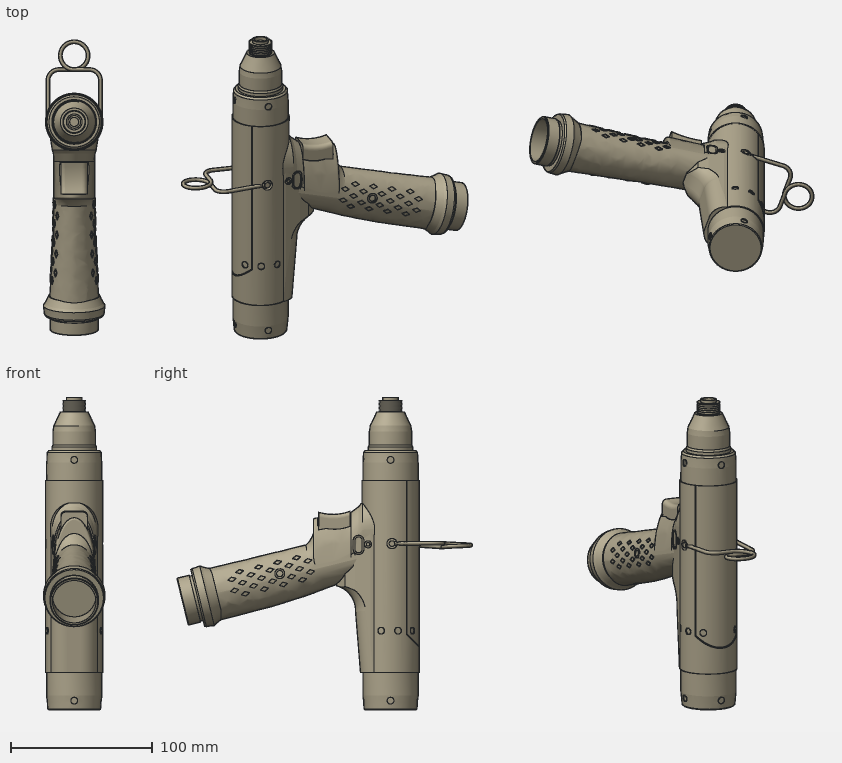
import cadquery as cq
import math


BARREL_R = 20.3
COLLAR_R = 19.6
BARREL_BASE_Z = 26.3
BARREL_TOP_Z = 162.2
FOOT_R = 18.7
FOOT_CHAMFER = 0.7
FOOT_TOP_Z = 10.0
COLLAR_TAPER_Z = 174.6
COLLAR_SHOULDER_R = 19.1
COLLAR_SHOULDER_Z = 182.0
COLLAR_TOP_R = 17.8
COLLAR_TOP_Z = 183.4

NOSE_FLANGE_R = 15.8
NOSE_FLANGE_TOP_Z = 185.6
NOSE_R = 15.1
NOSE_COLLAR_Z = 187.2
NOSE_SHOULDER_Z = 196.5
NOSE_CONE_R = 14.5
NOSE_CONE_Z = 200.6
NOSE_CONE_TOP_R = 9.8
THREAD_BASE_Z = 210.6
THREAD_R = 8.1
THREAD_PITCH = 2.7
THREAD_DEPTH = 0.5
THREAD_COUNT = 3
THREAD_TOP_Z = 218.7
TIP_R = 5.6
TIP_BORE_R = 4.5
TIP_BORE_DEPTH = 7.0
SPINDLE_R = 3.2
SPINDLE_RECESS = 2.0
TOTAL_HEIGHT = 220.71

SCREW_R = 2.4
SCREW_DEPTH = 1.0
FOOT_SCREW_Z = 6.6
COLLAR_SCREW_Z = 176.6
SIDE_SCREW_Z = 56.0
SIDE_SCREW_ANGLES = (-19.5, 15.5, 50.5)
SEAM_Y = 11.1
SEAM_WIDTH = 0.4
SEAM_DEPTH = 0.4
SEAM_BEND_Z = 53.5
SEAM_END_Z = 44.5

HANDLE_TILT = math.radians(13.7)
HANDLE_END_Y = -146.9
HANDLE_END_Z = 76.46

FLANGE_R = 43.61 / 2
FLANGE_BACK = 19.0
FLANGE_FRONT = 11.0
FLANGE_CHAMFER = 1.2
FLANGE_CONE_BACK = 25.0
CONE_R = 18.0
NECK_R = 16.4
PLUG_START = 9.0
PLUG_R = 17.1
PLUG_CHAMFER = 0.5
SOCKET_R = 15.4
SOCKET_DEPTH = 18.0

GRIP_SECTIONS = (
    (23.0, 17.3, 18.4, 18.9),
    (50.0, 16.0, 18.4, 18.6),
    (77.0, 14.9, 18.4, 17.4),
    (104.0, 14.5, 18.4, 14.6),
    (131.0, 14.5, 18.4, 11.5),
)

HOUSING_BELOW = 13.0
REAR_NECK_BELOW = 11.0
HOUSING_BACK_Y = -28.0
HOUSING_FRONT_Y = -54.5
HOUSING_HALF_WIDTH = 14.4
HOUSING_RIM_R = 1.5
SADDLE_SECTIONS = (
    (-8.0, 17.4, 128.0, 152.5),
    (-19.8, 15.6, 127.0, 146.8),
    (-22.6, 14.7, 123.0, 143.6),
    (HOUSING_BACK_Y, HOUSING_HALF_WIDTH, 114.0, 139.5),
)
HOUSING_SECTIONS = (
    (HOUSING_BACK_Y, HOUSING_HALF_WIDTH, 106.0, 139.5),
    (HOUSING_FRONT_Y, HOUSING_HALF_WIDTH, 99.0, 135.3),
)
REAR_NECK_SECTIONS = (
    (-52.5, 14.1, 99.5, 131.0),
    (-56.2, 14.2, 98.6, 121.0),
    (-59.0, 14.4, 97.9, 117.2),
    (-64.0, 14.6, 96.7, 115.4),
)

WEB_FOOT = (-21.3, BARREL_BASE_Z)
WEB_KNEE = (-24.8, 69.5)
WEB_BEND = (-28.7, 81.5)
WEB_TOE = (-38.0, 87.6)
WEB_TOP_Z = 127.0
WEB_SHOULDER_Y = -20.0
WEB_TOE_TOP_Z = 98.0
WEB_EDGE_R = 12.0
WEB_INNER_Y = -5.0
WEB_PLAN = ((WEB_INNER_Y, 16.8), (-14.0, 16.4), (-25.0, 14.3), (-32.0, 11.5), (-38.0, 4.0))

TRIGGER_BACK_Y = -28.6
TRIGGER_FRONT_Y = -50.8
TRIGGER_HALF_WIDTH = 9.4
TRIGGER_EDGE_R = 3.2
TRIGGER_BASE_Z = 124.0
TRIGGER_BACK_Z = 140.4
TRIGGER_DIP_Z = 138.2
TRIGGER_FRONT_Z = 139.7
POCKET_GAP = 0.6
POCKET_FLOOR_BACK_Z = 130.0
POCKET_FLOOR_DIP_Z = 127.6

BUTTON_Y = -22.6
BUTTON_Z = 116.6
BUTTON_LENGTH = 13.6
BUTTON_WIDTH = 7.6
BUTTON_RIM = 1.2
BUTTON_FLOOR_X = 12.9
SMALL_SCREW_Y = -15.9
SMALL_SCREW_Z = 117.0
SMALL_SCREW_R = 2.5
SMALL_SCREW_FLOOR_X = 15.0
GRIP_SCREW_BACK = 71.4
GRIP_SCREW_RISE = 3.0
GRIP_SCREW_R = 3.5
GRIP_SCREW_HEAD_R = 2.2
DIAMOND_LENGTH = 5.8
DIAMOND_WIDTH = 3.4
DIAMOND_RAISE = 0.45
DIAMOND_ROOT = 1.0
GRIP_HALF_HEIGHT = 18.4
DIAMOND_PITCH = 13.8
DIAMOND_ROW_STEP = 4.0
DIAMOND_ROWS = ((44.2, 4), (37.6, 5), (44.4, 4), (37.6, 5), (44.5, 4))
DIAMOND_TOP_RISE = 11.0

WIRE_R = 1.33
HANGER_HALF_WIDTH = 18.55
HANGER_PIVOT_Y = 1.0
HANGER_PIVOT_Z = 117.5
HANGER_BEND_R = 7.8
RING_R = 9.8
RING_OUTER_Y = 57.91
RING_PITCH = 2 * WIRE_R + 0.1
RING_Z = 116.4
PIVOT_PIN_R = 2.0
PIVOT_PIN_END = 14.0
PIVOT_PIN_HEAD = 20.1
PIVOT_RECESS_R = 3.6
PIVOT_RECESS_FLOOR = 16.8

SIDES = (-1, 1)


def axis_z(y):
    """Height of the handle axis at a given Y."""
    return HANDLE_END_Z + (y - HANDLE_END_Y) * math.tan(HANDLE_TILT)


def handle_plane(back):
    """Plane across the handle axis, facing outward, a distance back from the handle end."""
    along_y, along_z = math.cos(HANDLE_TILT), math.sin(HANDLE_TILT)
    origin = (0, HANDLE_END_Y + back * along_y, HANDLE_END_Z + back * along_z)
    return cq.Plane(origin=origin, xDir=(1, 0, 0), normal=(0, -along_y, -along_z))


def egg_wire(plane, half_width, above, below):
    """Closed outline of an upper and a lower half ellipse sharing one width."""
    halves = []
    for height, start in ((above, 0), (below, 180)):
        halves.append(cq.Edge.makeEllipse(
            half_width, height, plane.origin, plane.zDir, plane.xDir, start, start + 180))
    return cq.Wire.assembleEdges(halves)


def upright_loft(sections, reach_below, ruled):
    """Loft of egg outlines standing in XZ planes, reaching a fixed depth below the handle axis."""
    wires = []
    for y, half_width, widest_z, crown_z in sections:
        plane = cq.Plane(origin=(0, y, widest_z), xDir=(1, 0, 0), normal=(0, -1, 0))
        below = widest_z - axis_z(y) + reach_below
        wires.append(egg_wire(plane, half_width, crown_z - widest_z, below))
    return cq.Workplane(cq.Solid.makeLoft(wires, ruled))


def make_grip():
    wires = []
    for back, half_width, above, below in GRIP_SECTIONS:
        wires.append(egg_wire(handle_plane(back), half_width, above, below))
    return cq.Workplane(cq.Solid.makeLoft(wires))


def make_web():
    """Tapered web that runs down the barrel and sweeps out under the handle."""
    half_width = WEB_PLAN[0][1]
    side_shape = (
        cq.Workplane("YZ")
        .moveTo(WEB_INNER_Y, BARREL_BASE_Z)
        .lineTo(*WEB_FOOT)
        .lineTo(*WEB_KNEE)
        .threePointArc(WEB_BEND, WEB_TOE)
        .lineTo(WEB_TOE[0], WEB_TOE_TOP_Z)
        .lineTo(WEB_SHOULDER_Y, WEB_TOP_Z)
        .lineTo(WEB_INNER_Y, WEB_TOP_Z)
        .close()
        .extrude(half_width, both=True)
    )
    corner = cq.selectors.BoxSelector(
        (-2 * half_width, WEB_TOE[0] - 1, WEB_FOOT[1] + 1), (2 * half_width, WEB_FOOT[0], WEB_TOE[1] - 1))
    rounded = side_shape.edges(corner).edges("not |X").fillet(WEB_EDGE_R)
    left = [(-half_width, y) for y, half_width in WEB_PLAN]
    right = [(half_width, y) for y, half_width in reversed(WEB_PLAN)]
    plan = cq.Workplane("XY").polyline(left + right).close().extrude(BARREL_TOP_Z)
    return rounded.intersect(plan)


def make_barrel():
    outline = [
        (0, 0),
        (FOOT_R - FOOT_CHAMFER, 0),
        (FOOT_R, FOOT_CHAMFER),
        (COLLAR_R, FOOT_TOP_Z),
        (COLLAR_R, BARREL_BASE_Z),
        (BARREL_R, BARREL_BASE_Z),
        (BARREL_R, BARREL_TOP_Z),
        (COLLAR_R, BARREL_TOP_Z),
        (COLLAR_R, COLLAR_TAPER_Z),
        (COLLAR_SHOULDER_R, COLLAR_SHOULDER_Z),
        (COLLAR_TOP_R, COLLAR_TOP_Z),
        (NOSE_FLANGE_R, COLLAR_TOP_Z),
        (NOSE_FLANGE_R, NOSE_FLANGE_TOP_Z),
        (NOSE_R, NOSE_COLLAR_Z),
        (NOSE_R, NOSE_SHOULDER_Z),
        (NOSE_CONE_R, NOSE_CONE_Z),
        (NOSE_CONE_TOP_R, THREAD_BASE_Z),
        (THREAD_R, THREAD_BASE_Z),
    ]
    for turn in range(THREAD_COUNT):
        groove_z = THREAD_BASE_Z + (turn + 0.5) * THREAD_PITCH
        outline.append((THREAD_R, groove_z - THREAD_PITCH / 4))
        outline.append((THREAD_R - THREAD_DEPTH, groove_z - THREAD_PITCH / 4))
        outline.append((THREAD_R - THREAD_DEPTH, groove_z + THREAD_PITCH / 4))
        outline.append((THREAD_R, groove_z + THREAD_PITCH / 4))
    outline += [
        (THREAD_R, THREAD_TOP_Z),
        (TIP_R, THREAD_TOP_Z),
        (TIP_R, TOTAL_HEIGHT),
        (TIP_BORE_R, TOTAL_HEIGHT),
        (TIP_BORE_R, TOTAL_HEIGHT - TIP_BORE_DEPTH),
        (SPINDLE_R, TOTAL_HEIGHT - TIP_BORE_DEPTH),
        (SPINDLE_R, TOTAL_HEIGHT - SPINDLE_RECESS),
        (0, TOTAL_HEIGHT - SPINDLE_RECESS),
    ]
    return cq.Workplane("XZ").polyline(outline).close().revolve(360, (0, 0), (0, 1))


def make_connector():
    """Flange, neck and hollow plug turned about the handle axis."""
    outline = [
        (0, -FLANGE_CONE_BACK),
        (CONE_R, -FLANGE_CONE_BACK),
        (FLANGE_R - FLANGE_CHAMFER, -FLANGE_BACK - FLANGE_CHAMFER / 2),
        (FLANGE_R, -FLANGE_BACK + FLANGE_CHAMFER),
        (FLANGE_R - FLANGE_CHAMFER / 2, -FLANGE_FRONT - FLANGE_CHAMFER),
        (FLANGE_R - FLANGE_CHAMFER, -FLANGE_FRONT),
        (NECK_R, -FLANGE_FRONT),
        (NECK_R, -PLUG_START),
        (PLUG_R, -PLUG_START),
        (PLUG_R, -PLUG_CHAMFER),
        (PLUG_R - PLUG_CHAMFER, 0),
        (SOCKET_R, 0),
        (SOCKET_R, -SOCKET_DEPTH),
        (0, -SOCKET_DEPTH),
    ]
    end = handle_plane(0)
    half_plane = cq.Plane(origin=end.origin, xDir=end.xDir, normal=-end.yDir)
    return cq.Workplane(half_plane).polyline(outline).close().revolve(360, (0, 0), (0, 1))


def make_trigger():
    """Block whose crown dips as an arc from back to front and is rounded along both sides."""
    middle_y = (TRIGGER_BACK_Y + TRIGGER_FRONT_Y) / 2
    block = (
        cq.Workplane("YZ")
        .moveTo(TRIGGER_BACK_Y, TRIGGER_BASE_Z)
        .lineTo(TRIGGER_BACK_Y, TRIGGER_BACK_Z)
        .threePointArc((middle_y, TRIGGER_DIP_Z), (TRIGGER_FRONT_Y, TRIGGER_FRONT_Z))
        .lineTo(TRIGGER_FRONT_Y, TRIGGER_BASE_Z)
        .close()
        .extrude(TRIGGER_HALF_WIDTH, both=True)
    )
    return block.edges("%CIRCLE").fillet(TRIGGER_EDGE_R)


def make_trigger_pocket():
    """Opening above a dished floor, slightly larger than the trigger and open to the sides."""
    back_y = TRIGGER_BACK_Y + POCKET_GAP
    front_y = TRIGGER_FRONT_Y - POCKET_GAP
    return (
        cq.Workplane("YZ")
        .moveTo(back_y, POCKET_FLOOR_BACK_Z)
        .threePointArc(((back_y + front_y) / 2, POCKET_FLOOR_DIP_Z), (front_y, POCKET_FLOOR_BACK_Z))
        .lineTo(front_y, BARREL_TOP_Z)
        .lineTo(back_y, BARREL_TOP_Z)
        .close()
        .extrude(BARREL_R, both=True)
    )


def radial_screw(z, angle, radius):
    """Shallow round sink in the barrel wall; the angle runs from +X towards +Y."""
    return (
        cq.Workplane("YZ", origin=(radius - SCREW_DEPTH, 0, z))
        .circle(SCREW_R)
        .extrude(2 * SCREW_DEPTH)
        .rotate((0, 0, 0), (0, 0, 1), angle)
    )


def cut_screws(body):
    for angle in range(0, 360, 90):
        body = body.cut(radial_screw(FOOT_SCREW_Z, angle, COLLAR_R))
        body = body.cut(radial_screw(COLLAR_SCREW_Z, angle, COLLAR_R))
    for angle in SIDE_SCREW_ANGLES:
        body = body.cut(radial_screw(SIDE_SCREW_Z, angle, BARREL_R))
        body = body.cut(radial_screw(SIDE_SCREW_Z, 180 - angle, BARREL_R))
    return body


def make_seam_groove():
    """Seam of the back cover: straight down each side, then slanting towards the back."""
    strip = (
        cq.Workplane("YZ")
        .polyline([
            (SEAM_Y, BARREL_TOP_Z),
            (SEAM_Y, SEAM_BEND_Z),
            (BARREL_R, SEAM_END_Z),
            (BARREL_R, SEAM_END_Z + SEAM_WIDTH),
            (SEAM_Y + SEAM_WIDTH, SEAM_BEND_Z + SEAM_WIDTH / 2),
            (SEAM_Y + SEAM_WIDTH, BARREL_TOP_Z),
        ])
        .close()
        .extrude(BARREL_R + SEAM_DEPTH, both=True)
    )
    core = cq.Workplane("XY").circle(BARREL_R - SEAM_DEPTH).extrude(BARREL_TOP_Z)
    return strip.cut(core)


def cut_side_details(body, side):
    """Oval button rim and small screw on one side of the handle."""
    rim = (
        cq.Workplane("YZ", origin=(side * BUTTON_FLOOR_X, BUTTON_Y, BUTTON_Z))
        .slot2D(BUTTON_LENGTH, BUTTON_WIDTH, 90)
        .slot2D(BUTTON_LENGTH - 2 * BUTTON_RIM, BUTTON_WIDTH - 2 * BUTTON_RIM, 90)
        .extrude(side * (BARREL_R - BUTTON_FLOOR_X))
    )
    screw = (
        cq.Workplane("YZ", origin=(side * SMALL_SCREW_FLOOR_X, SMALL_SCREW_Y, SMALL_SCREW_Z))
        .circle(SMALL_SCREW_R)
        .circle(SMALL_SCREW_R / 2)
        .extrude(side * (BARREL_R - SMALL_SCREW_FLOOR_X))
    )
    return body.cut(rim).cut(screw)


def on_handle_side(back, rise):
    """Workplane facing +X at a spot on the handle, its local X running along the handle."""
    across = handle_plane(back)
    origin = across.origin + across.yDir * rise
    return cq.Workplane(cq.Plane(origin=origin, xDir=-across.zDir, normal=(1, 0, 0)))


def cut_grip_screws(body):
    spot = on_handle_side(GRIP_SCREW_BACK, GRIP_SCREW_RISE)
    for side in SIDES:
        seat = spot.workplane(offset=side * (grip_half_width(GRIP_SCREW_BACK) - SCREW_DEPTH))
        body = body.cut(seat.circle(GRIP_SCREW_R).circle(GRIP_SCREW_HEAD_R).extrude(side * 2 * SCREW_DEPTH))
    return body


def grip_half_width(back):
    """Half width of the grip, running straight between the sections given."""
    for near, far in zip(GRIP_SECTIONS, GRIP_SECTIONS[1:]):
        if back <= far[0]:
            return near[1] + (far[1] - near[1]) * (back - near[0]) / (far[0] - near[0])
    return GRIP_SECTIONS[-1][1]


def make_diamond(back, rise, side):
    """Flat diamond pad lying square to the egg-shaped flank of the grip."""
    across = handle_plane(back)
    half_width = grip_half_width(back)
    turn = math.asin(rise / GRIP_HALF_HEIGHT)
    surface = across.xDir * (side * half_width * math.cos(turn)) + across.yDir * rise
    sideways = across.xDir * (side * math.cos(turn) / half_width)
    outward = (sideways + across.yDir * (math.sin(turn) / GRIP_HALF_HEIGHT)).normalized()
    pad = cq.Plane(origin=across.origin + surface - outward * DIAMOND_ROOT, xDir=across.zDir, normal=outward)
    return (
        cq.Workplane(pad)
        .polyline([
            (DIAMOND_LENGTH / 2, 0),
            (0, DIAMOND_WIDTH / 2),
            (-DIAMOND_LENGTH / 2, 0),
            (0, -DIAMOND_WIDTH / 2),
        ])
        .close()
        .extrude(DIAMOND_ROOT + DIAMOND_RAISE)
    )


def make_diamonds():
    """Staggered rows of pads on both flanks, leaving room for the grip screw."""
    pads = []
    for row, (first_back, count) in enumerate(DIAMOND_ROWS):
        rise = DIAMOND_TOP_RISE - row * DIAMOND_ROW_STEP
        for place in range(count):
            back = first_back + place * DIAMOND_PITCH
            if math.hypot(back - GRIP_SCREW_BACK, rise - GRIP_SCREW_RISE) < DIAMOND_LENGTH:
                continue
            for side in SIDES:
                pads.append(make_diamond(back, rise, side).val())
    return cq.Workplane(cq.Compound.makeCompound(pads))


def sweep_wire(path, start, direction):
    section = cq.Workplane(cq.Plane(origin=start, normal=direction)).circle(WIRE_R)
    return section.sweep(path)


def make_hanger():
    """Wire bail: a pin and leg on each side, joined over one turn of a ring."""
    bar_y = RING_OUTER_Y - WIRE_R - 2 * RING_R
    hanger = None
    for side in SIDES:
        bar_z = RING_Z + side * RING_PITCH / 2
        lift = math.atan2(bar_z - HANGER_PIVOT_Z, bar_y - HANGER_PIVOT_Y)
        along = cq.Vector(0, math.cos(lift), math.sin(lift))
        pivot = cq.Vector(0, HANGER_PIVOT_Y, HANGER_PIVOT_Z)
        length = (bar_y - HANGER_PIVOT_Y) / math.cos(lift)
        plane = cq.Plane(origin=pivot, xDir=(side, 0, 0), normal=cq.Vector(side, 0, 0).cross(along))
        bend_mid = HANGER_BEND_R * (1 - math.sqrt(0.5))
        path = (
            cq.Workplane(plane)
            .moveTo(HANGER_HALF_WIDTH, 0)
            .lineTo(HANGER_HALF_WIDTH, length - HANGER_BEND_R)
            .threePointArc(
                (HANGER_HALF_WIDTH - bend_mid, length - bend_mid),
                (HANGER_HALF_WIDTH - HANGER_BEND_R, length))
            .lineTo(0, length)
        )
        leg = sweep_wire(path, (side * HANGER_HALF_WIDTH, HANGER_PIVOT_Y, HANGER_PIVOT_Z), along)
        pin = (
            cq.Workplane("YZ", origin=(side * PIVOT_PIN_END, HANGER_PIVOT_Y, HANGER_PIVOT_Z))
            .circle(PIVOT_PIN_R)
            .extrude(side * (PIVOT_PIN_HEAD - PIVOT_PIN_END))
        )
        half = leg.union(pin)
        hanger = half if hanger is None else hanger.union(half)
    helix = cq.Wire.makeHelix(RING_PITCH, RING_PITCH, RING_R)
    turn = (
        cq.Workplane("XZ", origin=(RING_R, 0, 0))
        .circle(WIRE_R)
        .sweep(cq.Workplane(helix), isFrenet=True)
        .rotate((0, 0, 0), (0, 0, 1), -90)
        .translate((0, bar_y + RING_R, RING_Z - RING_PITCH / 2))
    )
    hanger = hanger.union(turn)
    return hanger


def cut_pivot_recesses(body):
    for side in SIDES:
        recess = (
            cq.Workplane("YZ", origin=(side * PIVOT_RECESS_FLOOR, HANGER_PIVOT_Y, HANGER_PIVOT_Z))
            .circle(PIVOT_RECESS_R)
            .extrude(side * (BARREL_R - PIVOT_RECESS_FLOOR))
        )
        body = body.cut(recess)
    return body


def make_body(hanger):
    """Barrel and handle in one piece, with room cut for the hanger."""
    handle = (
        upright_loft(HOUSING_SECTIONS, HOUSING_BELOW, True).faces("<Y").edges().fillet(HOUSING_RIM_R)
        .union(upright_loft(SADDLE_SECTIONS, HOUSING_BELOW, True))
        .cut(make_trigger_pocket())
        .union(make_trigger())
        .union(upright_loft(REAR_NECK_SECTIONS, REAR_NECK_BELOW, False))
        .union(make_grip())
        .union(make_web())
        .union(make_connector())
    )
    handle = cut_grip_screws(handle)
    for side in SIDES:
        handle = cut_side_details(handle, side)
    barrel = cut_screws(make_barrel()).cut(make_seam_groove())
    barrel = cut_pivot_recesses(barrel).cut(hanger)
    return barrel.union(handle).union(make_diamonds())


hanger = make_hanger()
body = make_body(hanger)

result = cq.Compound.makeCompound([*body.vals(), *hanger.vals()])